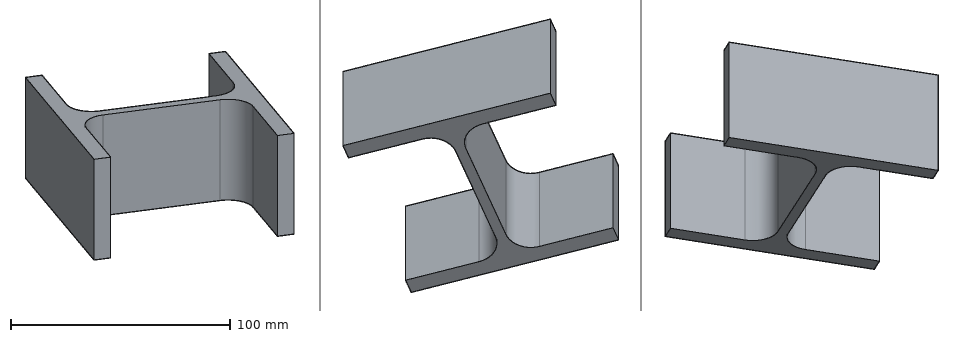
import cadquery as cq

flange_width = 100.0
section_depth = 96.0
beam_length = 50.0
flange_thickness = 8.0
web_thickness = 5.0
root_radius = 12.0


def flange(side):
    """Flange plate on the +Y (side = 1) or -Y (side = -1) edge of the section."""
    center_y = side * (section_depth - flange_thickness) / 2
    return (
        cq.Workplane("XY")
        .center(0, center_y)
        .rect(flange_width, flange_thickness)
        .extrude(beam_length)
    )


web = cq.Workplane("XY").rect(web_thickness, section_depth).extrude(beam_length)
beam = web.union(flange(1)).union(flange(-1))

root_corners = cq.selectors.BoxSelector(
    (-web_thickness, -section_depth / 2 + flange_thickness / 2, 0),
    (web_thickness, section_depth / 2 - flange_thickness / 2, beam_length),
)
result = beam.edges("|Z").edges(root_corners).fillet(root_radius)